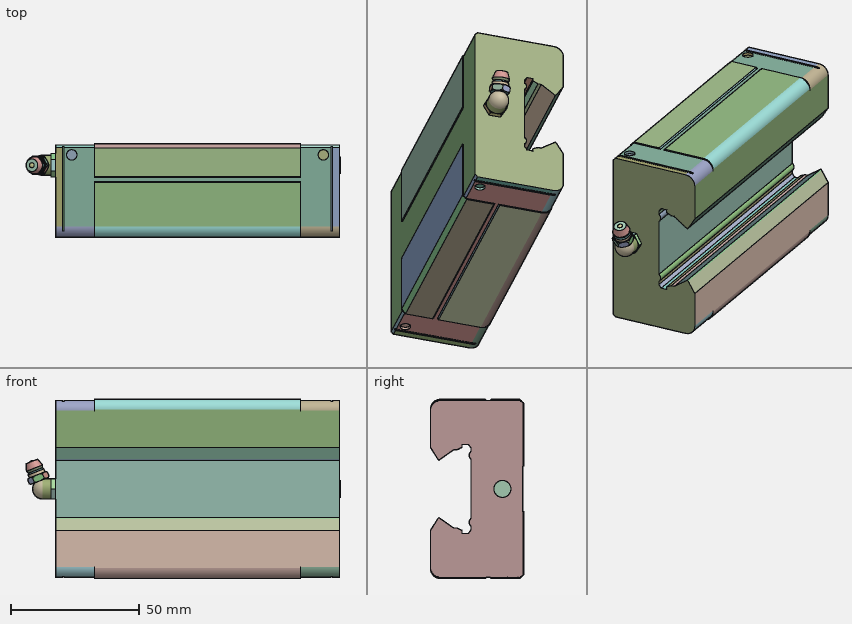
import cadquery as cq
import math

block_left = -49.7
block_right = 60.9
block_length = block_right - block_left
block_center_x = (block_left + block_right) / 2

outer_width = 70.0
outer_height = 36.5
front_y = -outer_height / 2
back_y = outer_height / 2
front_corner_radius = 4.0

middle_length = 80.4
middle_step = 0.5
middle_back_chamfer = 1.7
cap_back_chamfer = 1.0
cap_half_width = outer_width / 2 - middle_step
cap_back_y = back_y - middle_step

slot_floor_y = -2.5
slot_half_width = 17.3
slot_corner_y = -3.4
slot_corner_z = 15.9
bump_inner_z = 11.5
bump_outer_z = 14.6
bump_height = 0.7
recess_end_y = -5.9
lip_root_z = 16.2
step_start_y = -7.8
step_end_y = -9.2
step_z = 15.2
lip_tip_y = -15.0
lip_tip_z = 11.1
lip_bevel = 0.5
cut_margin = 1.2

back_groove_width = 17.8
side_groove_y = 4.3
side_groove_floor = 1.5
side_groove_mouth = 2.5

end_plate_thickness = 2.7
seam_width = 0.6
seam_depth = 0.4

cap_hole_diameter = 4.0
cap_hole_depth = 1.1
cap_hole_offset = 49.0
cap_hole_y = 13.8

port_y = 9.8
plug_diameter = 6.6
plug_height = 0.4

base_hex_flats = 8.0
base_hex_height = 1.8
stem_radius = base_hex_flats / 2
elbow_x = -54.8
head_tilt = 21.5

tip_distance = 11.5
tip_radius = 2.5
head_distance = 8.7
head_radius = 3.4
neck_distance = 7.7
neck_radius = 3.0
collar_distance = 7.1
collar_radius = 3.3
collar_root_radius = 2.2
head_hex_top = 5.9
head_hex_bottom = 3.3
head_hex_flats = 7.2
head_hex_chamfer = 0.5
ball_radius = 1.0
ball_rise = 0.31


def hexagon_corner_diameter(flats):
    return flats / math.cos(math.pi / 6)


def outer_profile(half_width, top_y, back_chamfer, length):
    """Rounded and chamfered block section, extruded along X about the block centre."""
    return (
        cq.Workplane("YZ", origin=(block_center_x, 0, 0))
        .moveTo((front_y + top_y) / 2, 0)
        .rect(top_y - front_y, 2 * half_width)
        .extrude(length / 2, both=True)
        .edges("|X and <Y")
        .fillet(front_corner_radius)
        .edges("|X and >Y")
        .chamfer(back_chamfer)
    )


def half_rail_slot():
    """Half of the rail slot, on the +Z side of the middle plane."""
    past_front_y = front_y - cut_margin
    bump_middle_z = (bump_inner_z + bump_outer_z) / 2
    return (
        cq.Workplane("YZ", origin=(block_left, 0, 0))
        .moveTo(past_front_y, 0)
        .lineTo(slot_floor_y, 0)
        .lineTo(slot_floor_y, bump_inner_z)
        .threePointArc((slot_floor_y - bump_height, bump_middle_z), (slot_floor_y, bump_outer_z))
        .lineTo(slot_floor_y, slot_corner_z)
        .lineTo(slot_corner_y, slot_half_width)
        .lineTo(recess_end_y, slot_half_width)
        .lineTo(recess_end_y, lip_root_z)
        .lineTo(step_start_y, step_z)
        .lineTo(step_end_y, step_z)
        .lineTo(lip_tip_y, lip_tip_z)
        .lineTo(lip_tip_y - lip_bevel, lip_tip_z + lip_bevel)
        .lineTo(front_y, lip_root_z)
        .lineTo(past_front_y, lip_root_z)
        .close()
        .extrude(block_length)
    )


def back_groove():
    return cq.Workplane("XY").box(middle_length, 2 * middle_step, back_groove_width).translate(
        (block_center_x, back_y, 0)
    )


def side_groove():
    """Groove with sloping walls along the +Z side of the middle, down to the level of the caps."""
    side_z = outer_width / 2
    return (
        cq.Workplane("YZ", origin=(block_center_x, 0, 0))
        .moveTo(side_groove_y - side_groove_mouth / 2, side_z)
        .lineTo(side_groove_y - side_groove_floor / 2, cap_half_width)
        .lineTo(side_groove_y + side_groove_floor / 2, cap_half_width)
        .lineTo(side_groove_y + side_groove_mouth / 2, side_z)
        .close()
        .extrude(middle_length / 2, both=True)
    )


def side_seam(direction):
    """Seam across the +Z side, at the left (-1) or right (+1) end."""
    seam_x = block_center_x + direction * (block_length / 2 - end_plate_thickness - seam_width / 2)
    return cq.Workplane("XY").box(seam_width, outer_height, 2 * seam_depth).translate(
        (seam_x, 0, cap_half_width)
    )


def cap_hole(direction):
    """Blind hole in the +Z side of the left (-1) or right (+1) cap."""
    hole_x = block_center_x + direction * cap_hole_offset
    return (
        cq.Workplane("XY", origin=(hole_x, cap_hole_y, cap_half_width - cap_hole_depth))
        .circle(cap_hole_diameter / 2)
        .extrude(2 * cap_hole_depth)
    )


def make_block():
    caps = outer_profile(cap_half_width, cap_back_y, cap_back_chamfer, block_length)
    middle = outer_profile(outer_width / 2, back_y, middle_back_chamfer, middle_length)
    block = caps.union(middle).cut(back_groove())

    side_cuts = [half_rail_slot(), side_groove()]
    for direction in (-1, 1):
        side_cuts += [side_seam(direction), cap_hole(direction)]
    for side_cut in side_cuts:
        block = block.cut(side_cut).cut(side_cut.mirror("XY"))

    plug = (
        cq.Workplane("YZ", origin=(block_right, port_y, 0))
        .circle(plug_diameter / 2)
        .extrude(plug_height)
    )
    return block.union(plug)


def nipple_elbow():
    """Round stem along X, from the base hexagon to a domed elbow."""
    return (
        cq.Workplane("XY", origin=(elbow_x, port_y, 0))
        .moveTo(-stem_radius, 0)
        .radiusArc((0, stem_radius), stem_radius)
        .lineTo(block_left - base_hex_height - elbow_x, stem_radius)
        .lineTo(block_left - base_hex_height - elbow_x, 0)
        .close()
        .revolve(360, (0, 0, 0), (1, 0, 0))
    )


def nipple_head():
    """Turned head along +Z from the elbow centre, with a ball closing its tip."""
    return (
        cq.Workplane("XZ")
        .lineTo(collar_root_radius, 0)
        .lineTo(collar_root_radius, head_hex_bottom)
        .lineTo(collar_radius, head_hex_bottom)
        .lineTo(collar_radius, collar_distance)
        .lineTo(neck_radius, neck_distance)
        .lineTo(head_radius, head_distance)
        .lineTo(tip_radius, tip_distance)
        .lineTo(ball_radius, tip_distance)
        .radiusArc((0, tip_distance + ball_rise), -(ball_radius**2 + ball_rise**2) / (2 * ball_rise))
        .close()
        .revolve(360, (0, 0, 0), (0, 1, 0))
    )


def head_hexagon():
    """Hexagon on the head, with corners in the XZ plane bevelled at both ends."""
    corner_diameter = hexagon_corner_diameter(head_hex_flats)
    height = head_hex_top - head_hex_bottom
    bevelled_disc = (
        cq.Workplane("XY", origin=(0, 0, head_hex_bottom))
        .circle(corner_diameter / 2)
        .extrude(height)
        .edges()
        .chamfer(head_hex_chamfer)
    )
    return (
        cq.Workplane("XY", origin=(0, 0, head_hex_bottom))
        .polygon(6, corner_diameter)
        .extrude(height)
        .intersect(bevelled_disc)
    )


def make_nipple():
    base = (
        cq.Workplane("YZ", origin=(block_left, port_y, 0))
        .polygon(6, hexagon_corner_diameter(base_hex_flats))
        .extrude(-base_hex_height)
    )
    head = (
        nipple_head()
        .union(head_hexagon())
        .rotate((0, 0, 0), (0, 1, 0), -head_tilt)
        .translate((elbow_x, port_y, 0))
    )
    return base.union(nipple_elbow()).union(head)


block = make_block()
nipple = make_nipple()

result = cq.Compound.makeCompound([block.val(), nipple.val()])